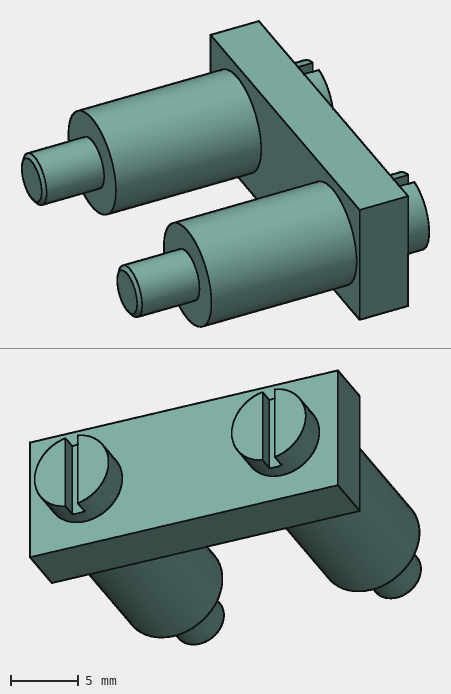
import cadquery as cq

plate_length = 25.0
plate_thickness = 4.0
plate_height = 10.0

screw_spacing = 16.0
spacer_diameter = 8.0
spacer_length = 12.0
pin_diameter = 4.0
pin_length = 5.0
tip_chamfer_axial = 0.25
tip_chamfer_radial = 0.32

head_diameter = 6.0
head_height = 2.5
slot_width = 1.0
slot_depth = 1.25

plate_front = -plate_thickness / 2
plate_back = plate_thickness / 2
spacer_end = plate_front - spacer_length
pin_end = spacer_end - pin_length
head_end = plate_back + head_height


def make_spacer_and_pin():
    """Stepped round profile turned about the Y axis, with a bevelled pin tip."""
    spacer_radius = spacer_diameter / 2
    pin_radius = pin_diameter / 2
    profile = [
        (0, plate_front),
        (spacer_radius, plate_front),
        (spacer_radius, spacer_end),
        (pin_radius, spacer_end),
        (pin_radius, pin_end + tip_chamfer_axial),
        (pin_radius - tip_chamfer_radial, pin_end),
        (0, pin_end),
    ]
    return cq.Workplane("XY").polyline(profile).close().revolve(360, (0, 0, 0), (0, 1, 0))


def make_head():
    """Cylindrical screw head with a driver slot running along Z."""
    head = (
        cq.Workplane("XZ", origin=(0, plate_back, 0))
        .circle(head_diameter / 2)
        .extrude(-head_height)
    )
    slot = cq.Workplane("XY").box(slot_width, slot_depth, head_diameter)
    return head.cut(slot.translate((0, head_end - slot_depth / 2, 0)))


result = cq.Workplane("XY").box(plate_length, plate_thickness, plate_height)
for x in (-screw_spacing / 2, screw_spacing / 2):
    result = result.union(make_spacer_and_pin().translate((x, 0, 0)))
    result = result.union(make_head().translate((x, 0, 0)))